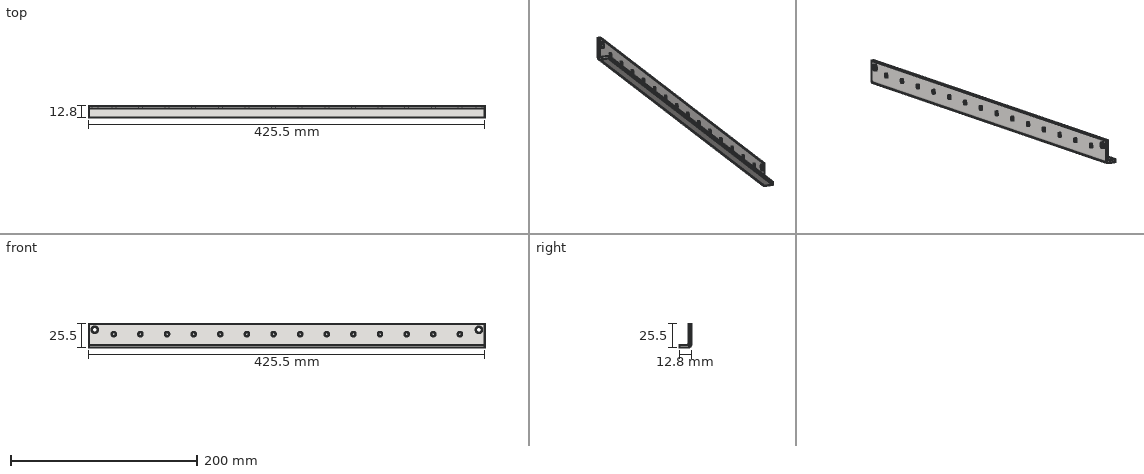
import cadquery as cq

length = 425.5
flange_depth = 12.8
leg_height = 25.5
thickness = 3.0
inner_bend_radius = 1.0
outer_bend_radius = inner_bend_radius + thickness

corner_hole_diameter = 6.5
corner_hole_inset = 6.5
corner_hole_drop = 6.5

row_hole_count = 14
row_end_inset = 27.0
row_hole_pitch = (length - 2 * row_end_inset) / (row_hole_count - 1)
row_hole_diameter = 4.3
row_hole_drop = 11.0

back_y = flange_depth / 2
front_y = -flange_depth / 2
top_z = leg_height / 2
bottom_z = -leg_height / 2


def make_angle():
    """L section in the YZ plane, extruded along X, with a rounded bend."""
    inner_y = back_y - thickness
    inner_z = bottom_z + thickness
    section = [
        (back_y, top_z),
        (back_y, bottom_z),
        (front_y, bottom_z),
        (front_y, inner_z),
        (inner_y, inner_z),
        (inner_y, top_z),
    ]
    angle = cq.Workplane("YZ").polyline(section).close().extrude(length / 2, both=True)
    outer_corner = cq.selectors.NearestToPointSelector((0, back_y, bottom_z))
    inner_corner = cq.selectors.NearestToPointSelector((0, inner_y, inner_z))
    angle = angle.edges("|X").edges(outer_corner).fillet(outer_bend_radius)
    return angle.edges("|X").edges(inner_corner).fillet(inner_bend_radius)


def leg_holes(points, diameter):
    """Cutters through the back leg at the given (x, z) points."""
    plane = cq.Workplane("XZ", origin=(0, back_y, 0))
    return plane.pushPoints(points).circle(diameter / 2).extrude(thickness)


corner_x = length / 2 - corner_hole_inset
corner_z = top_z - corner_hole_drop
corner_points = [(side * corner_x, corner_z) for side in (-1, 1)]

row_z = top_z - row_hole_drop
row_middle = (row_hole_count - 1) / 2
row_points = [((i - row_middle) * row_hole_pitch, row_z) for i in range(row_hole_count)]

result = (
    make_angle()
    .cut(leg_holes(corner_points, corner_hole_diameter))
    .cut(leg_holes(row_points, row_hole_diameter))
)